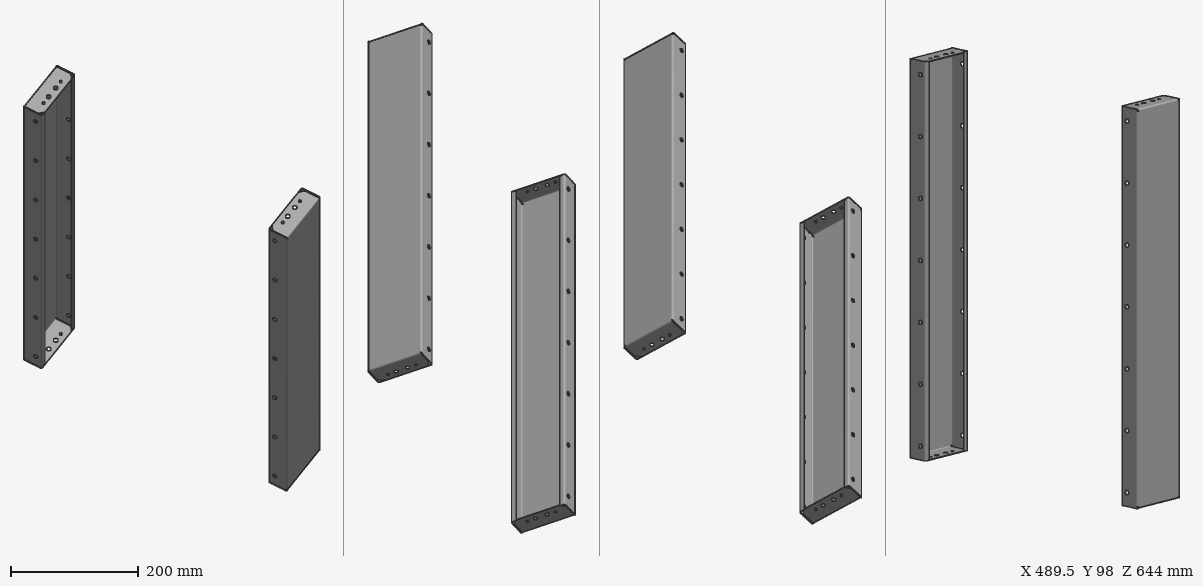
import cadquery as cq

height = 644.0
width = 98.0
span = 489.5
depth = 35.0

sheet = 1.5
bend_inner = 1.6
bend_outer = bend_inner + sheet
lip_length = 9.5
end_gap = 0.5
end_corner_chamfer = 8.0

side_hole_diameter = 7.0
side_hole_pitch = 100.0
side_hole_count = 7
hole_inset = 23.0
end_large_diameter = 7.0
end_large_spacing = 20.5
end_small_diameter = 4.65
end_small_spacing = 50.0

end_width = width - 2 * (sheet + end_gap)


def make_channel():
    """Web at X = 0, two side flanges and their inward lips, bent from one sheet."""
    outer = (
        cq.Workplane("XY")
        .box(depth, width, height, centered=(False, True, True))
        .edges("|Z")
        .fillet(bend_outer)
    )
    cavity = (
        cq.Workplane("XY")
        .box(depth - 2 * sheet, width - 2 * sheet, height, centered=(False, True, True))
        .edges("|Z")
        .fillet(bend_inner)
        .translate((sheet, 0, 0))
    )
    opening = (
        cq.Workplane("XY")
        .box(depth / 2, width - 2 * lip_length, height, centered=(False, True, True))
        .translate((depth / 2, 0, 0))
    )
    return outer.cut(cavity).cut(opening)


def cut_end_reliefs(channel):
    """Remove the web between the side flanges where the end bends take over."""
    for side in (-1, 1):
        relief = cq.Workplane("XY").box(
            bend_outer, width - 2 * sheet, bend_outer, centered=(False, True, True)
        )
        channel = channel.cut(relief.translate((0, 0, side * (height - bend_outer) / 2)))
    return channel


def make_end_flange():
    """Top end flange with its bend, chamfered at its two free corners."""
    top = height / 2
    bend_start = top - bend_outer
    return (
        cq.Workplane("XZ")
        .moveTo(0, bend_start)
        .radiusArc((bend_outer, top), bend_outer)
        .lineTo(depth, top)
        .lineTo(depth, top - sheet)
        .lineTo(bend_outer, top - sheet)
        .radiusArc((sheet, bend_start), -bend_inner)
        .close()
        .extrude(end_width / 2, both=True)
        .edges("|Z and >X")
        .chamfer(end_corner_chamfer)
    )


def drill_side_holes(tray):
    """Row of holes through both side flanges."""
    drills = (
        cq.Workplane("XZ")
        .center(hole_inset, 0)
        .rarray(6.5, side_hole_pitch, 1, side_hole_count)
        .circle(side_hole_diameter / 2)
        .extrude(width, both=True)
    )
    return tray.cut(drills)


def drill_end_holes(tray):
    """Two large and two small holes through both end flanges."""
    for diameter, spacing in (
        (end_large_diameter, end_large_spacing),
        (end_small_diameter, end_small_spacing),
    ):
        drills = (
            cq.Workplane("XY")
            .center(hole_inset, 0)
            .rarray(6.5, spacing, 1, 2)
            .circle(diameter / 2)
            .extrude(height, both=True)
        )
        tray = tray.cut(drills)
    return tray


def make_tray():
    """One tray with its web on X = 0 and its open side towards +X."""
    end_flange = make_end_flange()
    tray = cut_end_reliefs(make_channel())
    tray = tray.union(end_flange).union(end_flange.mirror("XY"))
    return drill_end_holes(drill_side_holes(tray))


trays = []
for turn in (0, 180):
    tray = make_tray().translate((-span / 2, 0, 0)).rotate((0, 0, 0), (0, 0, 1), turn)
    trays.append(tray.val())

result = cq.Compound.makeCompound(trays)